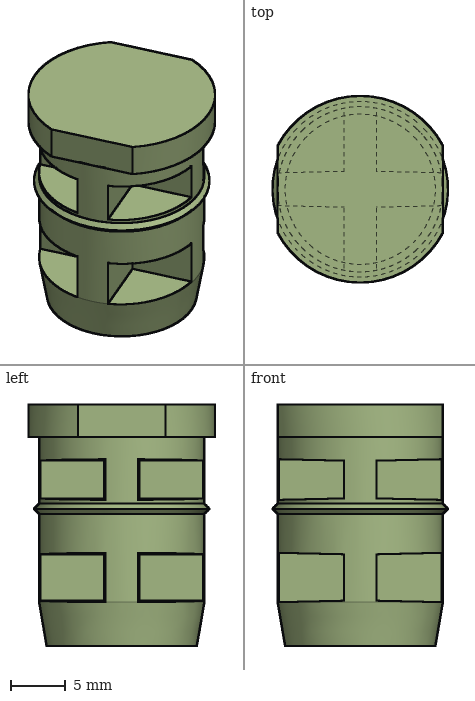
import cadquery as cq
import math

total_height = 22.0
flange_thickness = 3.0
nose_height = 4.0
ring_center_height = 12.5

body_radius = 7.52
nose_radius = 6.85
ring_radius = 7.997
flange_radius = 8.503

ring_half_width = ring_radius - body_radius

flange_width = 2 * body_radius

rib_thickness = 3.0
pocket_draft_angle = 1.3
upper_pocket_bottom = 13.3
upper_pocket_top = 17.0
lower_pocket_bottom = nose_height
lower_pocket_top = 8.5

flange_bottom = total_height - flange_thickness
rib_half = rib_thickness / 2
rib_reach = math.sqrt(body_radius**2 - rib_half**2)
pocket_depth = rib_reach - rib_half
overcut = 0.45


def make_body():
    """Revolved plug: tapered nose, cylinder and a V-shaped sealing ring."""
    return (
        cq.Workplane("YZ")
        .moveTo(0, 0)
        .lineTo(nose_radius, 0)
        .lineTo(body_radius, nose_height)
        .lineTo(body_radius, ring_center_height - ring_half_width)
        .lineTo(ring_radius, ring_center_height)
        .lineTo(body_radius, ring_center_height + ring_half_width)
        .lineTo(body_radius, flange_bottom)
        .lineTo(0, flange_bottom)
        .close()
        .revolve(360, (0, 0, 0), (0, 1, 0))
    )


def make_flange():
    """Round head with two flats facing -X and +X."""
    disc = cq.Workplane("XY").workplane(offset=flange_bottom).circle(flange_radius).extrude(flange_thickness)
    flats = (
        cq.Workplane("XY")
        .workplane(offset=flange_bottom)
        .rect(flange_width, 2 * flange_radius)
        .extrude(flange_thickness)
    )
    return disc.intersect(flats)


def make_pocket(bottom, top):
    """Pocket in the +X +Y quadrant, narrowing towards the rib along -X."""
    spread = overcut * math.tan(math.radians(pocket_draft_angle))
    return (
        cq.Workplane("YZ")
        .workplane(offset=rib_reach + overcut)
        .moveTo(rib_half - spread, bottom - spread)
        .lineTo(ring_radius, bottom - spread)
        .lineTo(ring_radius, top + spread)
        .lineTo(rib_half - spread, top + spread)
        .close()
        .extrude(-(pocket_depth + overcut), taper=pocket_draft_angle)
    )


result = make_body().union(make_flange())
for bottom, top in (
    (lower_pocket_bottom, lower_pocket_top),
    (upper_pocket_bottom, upper_pocket_top),
):
    pocket = make_pocket(bottom, top)
    pocket_pair = pocket.union(pocket.mirror("XZ"))
    result = result.cut(pocket_pair).cut(pocket_pair.mirror("YZ"))